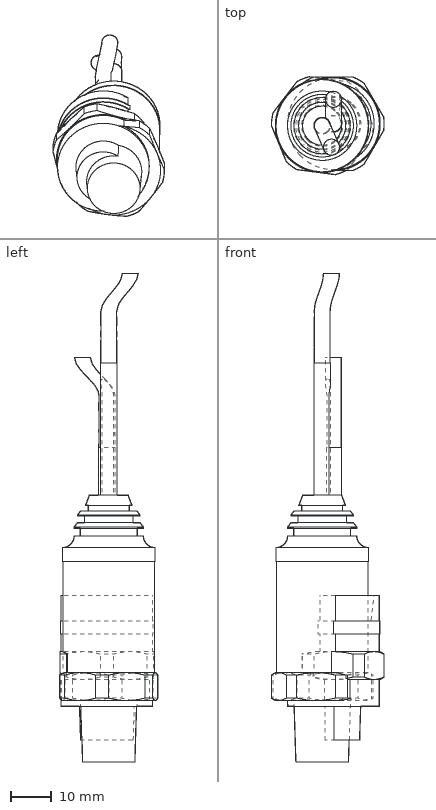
import cadquery as cq
import math


TIP_RADIUS = 6.5
THREAD_TAPER = 1 / 32
CAN_DIAMETER = 22.5
BAND_DIAMETER = 22.8
BAND_HEIGHT = 3.2
HEX_HEIGHT = 6.8
HEX_ACROSS_FLATS = 23.0
HEX_CORNER_DIAMETER = 24.9
HEX_CHAMFER_HEIGHT = 0.6
LEAD_DIAMETER = 4.1
WIRE_DIAMETER = 4.0
BEND_HEIGHT = 9.3
WIRE_STEPS = 12

TALL_HEX_Z = 15.1
TALL_HEX_TURN = -7.5
TALL_BAND_Z = 49.1
SHOULDER_Z = TALL_BAND_Z + BAND_HEIGHT
SHOULDER_TOP_RADIUS = 8.5
SHOULDER_RIM = 0.2
FLARE_RADIUS = BAND_DIAMETER / 2 - SHOULDER_TOP_RADIUS

RIBS = [
    (14.0, 1.8, 17.0, 15.3, 1.4, 0.4),
    (12.0, 1.5, 15.3, 13.8, 1.3, 0.4),
    (10.1, 1.3, 11.5, 9.6, 2.5, 0),
]
RELIEF_Z = SHOULDER_Z + SHOULDER_RIM + FLARE_RADIUS
RELIEF_TOP_Z = RELIEF_Z + sum(rib[1] + rib[4] for rib in RIBS)

TALL_LEAD_TOP_Z = 97.7
TALL_WIRE_TOP_Z = 119.8
TALL_WIRE_SHIFT = (2.3, -5.3)

SHORT_X = 2.8
SHORT_Y = 0.5
SHORT_TIP_Z = 5.4
COLLAR_Z = 13.7
SHORT_HEX_Z = 20.2
SHORT_BAND_Z = 31.4
SHROUD_FLOOR_Z = SHORT_BAND_Z + BAND_HEIGHT
SHROUD_TOP_Z = 40.8
SHROUD_MOUTH_DIAMETER = 20.0
SHROUD_FLOOR_DIAMETER = 18.5
SHORT_LEAD_TOP_Z = 77.1
SHORT_WIRE_TOP_Z = 99.2
SHORT_WIRE_SHIFT = (0.0, 6.0)


def revolve_profile(points):
    """Turn an (r, z) outline about the Z axis."""
    return cq.Workplane("XZ").polyline(points).close().revolve(360, (0, 0, 0), (0, 1, 0))


def cylinder(diameter, z_bottom, z_top):
    return cq.Workplane("XY").workplane(offset=z_bottom).circle(diameter / 2).extrude(z_top - z_bottom)


def thread_cone(z_tip, z_top):
    """Tapered pipe thread, as a plain cone."""
    top_radius = TIP_RADIUS + (z_top - z_tip) * THREAD_TAPER
    return revolve_profile([(0, z_tip), (TIP_RADIUS, z_tip), (top_radius, z_top), (0, z_top)])


def hex_flange(z_bottom, turn):
    """Wrench hexagon with turned corners, chamfered at both ends."""
    z_top = z_bottom + HEX_HEIGHT
    hexagon = (
        cq.Workplane("XY")
        .workplane(offset=z_bottom)
        .polygon(6, HEX_ACROSS_FLATS / math.cos(math.radians(30)))
        .extrude(HEX_HEIGHT)
        .rotate((0, 0, 0), (0, 0, 1), turn)
    )
    flat_radius = HEX_ACROSS_FLATS / 2
    corner_radius = HEX_CORNER_DIAMETER / 2
    blank = revolve_profile([
        (0, z_bottom),
        (flat_radius, z_bottom),
        (corner_radius, z_bottom + HEX_CHAMFER_HEIGHT),
        (corner_radius, z_top - HEX_CHAMFER_HEIGHT),
        (flat_radius, z_top),
        (0, z_top),
    ])
    return hexagon.intersect(blank)


def flared_shoulder():
    """Shoulder whose side sweeps in along a hollow curve to the strain relief."""
    outer_radius = BAND_DIAMETER / 2
    rim_z = SHOULDER_Z + SHOULDER_RIM
    reach = FLARE_RADIUS * math.sqrt(0.5)
    middle = (outer_radius - reach, RELIEF_Z - reach)
    return (
        cq.Workplane("XZ")
        .moveTo(0, SHOULDER_Z)
        .lineTo(outer_radius, SHOULDER_Z)
        .lineTo(outer_radius, rim_z)
        .threePointArc(middle, (SHOULDER_TOP_RADIUS, RELIEF_Z))
        .lineTo(0, RELIEF_Z)
        .close()
        .revolve(360, (0, 0, 0), (0, 1, 0))
    )


def strain_relief():
    """Stack of necks and tapered ribs."""
    outline = [(0, RELIEF_Z)]
    z = RELIEF_Z
    for neck_diameter, neck_height, lower_diameter, upper_diameter, rib_height, lip in RIBS:
        rib_z = z + neck_height
        outline += [
            (neck_diameter / 2, z),
            (neck_diameter / 2, rib_z),
            (lower_diameter / 2, rib_z),
        ]
        if lip > 0:
            outline.append((lower_diameter / 2, rib_z + lip))
        outline.append((upper_diameter / 2, rib_z + rib_height))
        z = rib_z + rib_height
    outline.append((0, z))
    return revolve_profile(outline)


def make_tall_sensor():
    return (
        thread_cone(0, TALL_HEX_Z)
        .union(hex_flange(TALL_HEX_Z, TALL_HEX_TURN))
        .union(cylinder(CAN_DIAMETER, TALL_HEX_Z + HEX_HEIGHT, TALL_BAND_Z))
        .union(cylinder(BAND_DIAMETER, TALL_BAND_Z, SHOULDER_Z))
        .union(flared_shoulder())
        .union(strain_relief())
    )


def shroud_cavity():
    """Space inside the shroud, narrowing towards its floor."""
    return revolve_profile([
        (0, SHROUD_FLOOR_Z),
        (SHROUD_FLOOR_DIAMETER / 2, SHROUD_FLOOR_Z),
        (SHROUD_MOUTH_DIAMETER / 2, SHROUD_TOP_Z),
        (0, SHROUD_TOP_Z),
    ])


def make_short_sensor():
    """Short sensor with an open shroud on top, before it is cut around the tall one."""
    sensor = (
        thread_cone(SHORT_TIP_Z, COLLAR_Z)
        .union(cylinder(CAN_DIAMETER, COLLAR_Z, SHROUD_TOP_Z))
        .union(hex_flange(SHORT_HEX_Z, 0))
        .union(cylinder(BAND_DIAMETER, SHORT_BAND_Z, SHROUD_FLOOR_Z))
        .cut(shroud_cavity())
    )
    return sensor.translate((SHORT_X, SHORT_Y, 0))


def make_lead(x, y, z_top):
    """Straight lead standing on top of the strain relief."""
    return cylinder(LEAD_DIAMETER, RELIEF_TOP_Z, z_top).translate((x, y, 0))


def make_wire(x, y, z_bottom, z_top, shift):
    """Wire that rises straight, then steps sideways by shift in an S-bend.

    Every level section is the same circle, so the wire is lofted through circles.
    """
    bend_z = z_top - BEND_HEIGHT
    step = (z_top - z_bottom) / WIRE_STEPS
    sections = []
    for i in range(WIRE_STEPS + 1):
        z = z_bottom + i * step
        rise = max(0, (z - bend_z) / BEND_HEIGHT)
        share = rise ** 2 * (3 - 2 * rise)
        center = cq.Vector(x + share * shift[0], y + share * shift[1], z)
        sections.append(cq.Wire.makeCircle(WIRE_DIAMETER / 2, center, cq.Vector(0, 0, 1)))
    return cq.Workplane(cq.Solid.makeLoft(sections))


tall_sensor = make_tall_sensor()
tall_lead = make_lead(0, 0, TALL_LEAD_TOP_Z)
tall_wire = make_wire(0, 0, TALL_LEAD_TOP_Z, TALL_WIRE_TOP_Z, TALL_WIRE_SHIFT)

short_sensor = make_short_sensor().cut(tall_sensor)
short_lead = make_lead(SHORT_X, SHORT_Y, SHORT_LEAD_TOP_Z).cut(tall_lead)
short_wire = (
    make_wire(SHORT_X, SHORT_Y, SHORT_LEAD_TOP_Z, SHORT_WIRE_TOP_Z, SHORT_WIRE_SHIFT)
    .cut(tall_lead)
    .cut(tall_wire)
)

result = cq.Compound.makeCompound([
    *tall_sensor.vals(),
    *tall_lead.vals(),
    *tall_wire.vals(),
    *short_sensor.vals(),
    *short_lead.vals(),
    *short_wire.vals(),
])